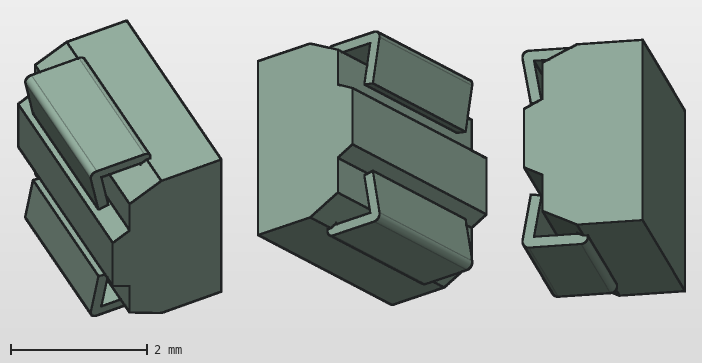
import cadquery as cq
import math

LENGTH = 3.14
TOTAL_DEPTH = 1.9
TOTAL_HEIGHT = 3.07

HOUSING_HEIGHT = 2.815
HOUSING_DEPTH = 1.777
CHAMFER_START = 0.983
LEDGE_DEPTH = 1.5
LEDGE_HEIGHT = 2.31
RIDGE_BASE_HEIGHT = 1.187
RIDGE_TIP_HEIGHT = 0.91

STRIP_WIDTH = 2.173
STRIP_THICKNESS = 0.163
STRIP_BACK = 0.92
BEND_RADIUS = 0.1
LEG_ANGLE = math.radians(10)
LEG_DROP = 0.83


def mirrored_profile(upper_points, width):
    """Extrude along X an outline given by its upper half, mirrored about Z = 0."""
    lower_points = [(y, -z) for y, z in reversed(upper_points)]
    return (
        cq.Workplane("YZ")
        .polyline(upper_points + lower_points)
        .close()
        .extrude(width / 2, both=True)
    )


def make_strip():
    """Upright web, two flat arms and two inward-leaning legs, in one bent strip."""
    top = TOTAL_HEIGHT / 2
    arm_inside = top - STRIP_THICKNESS
    slope = math.tan(LEG_ANGLE)

    bend_centre_y = -TOTAL_DEPTH + BEND_RADIUS
    corner_setback = BEND_RADIUS / math.tan((math.pi / 2 - LEG_ANGLE) / 2)
    corner_y = bend_centre_y - corner_setback

    tip_outer = (corner_y + LEG_DROP * slope, top - LEG_DROP)
    tip_inner = (
        tip_outer[0] + STRIP_THICKNESS * math.cos(LEG_ANGLE),
        tip_outer[1] + STRIP_THICKNESS * math.sin(LEG_ANGLE),
    )
    leg_inside_y = tip_inner[0] - (arm_inside - tip_inner[1]) * slope

    strip = mirrored_profile(
        [
            (-STRIP_BACK, top),
            (corner_y, top),
            tip_outer,
            tip_inner,
            (leg_inside_y, arm_inside),
            (-STRIP_BACK - STRIP_THICKNESS, arm_inside),
        ],
        STRIP_WIDTH,
    )
    outer_bends = strip.faces(">Z or <Z").edges("|X")
    return outer_bends.fillet(BEND_RADIUS)


def make_housing(strip):
    """Stepped block with a central front ridge and a fitted passage for the strip."""
    block = mirrored_profile(
        [
            (0, HOUSING_HEIGHT / 2),
            (-CHAMFER_START, HOUSING_HEIGHT / 2),
            (-LEDGE_DEPTH, LEDGE_HEIGHT / 2),
            (-LEDGE_DEPTH, RIDGE_BASE_HEIGHT / 2),
            (-HOUSING_DEPTH, RIDGE_TIP_HEIGHT / 2),
        ],
        LENGTH,
    )
    return block.cut(strip)


terminal_strip = make_strip()
housing = make_housing(terminal_strip)

result = cq.Compound.makeCompound([housing.val(), terminal_strip.val()])